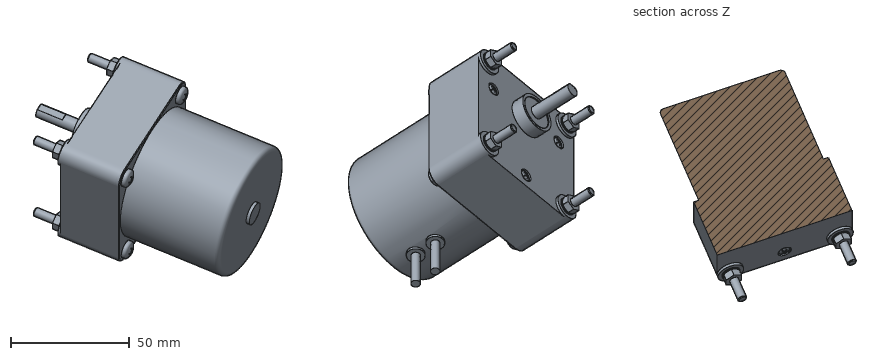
import cadquery as cq
import math


BOX_SIZE = 61.0
BOX_LENGTH = 28.0
COVER_THICKNESS = 2.0
COVER_CHAMFER = 0.4
COVER_X = BOX_LENGTH - COVER_THICKNESS
BOLT_CIRCLE_RADIUS = 35.0
BOLT_OFFSET = BOLT_CIRCLE_RADIUS / math.sqrt(2)
CORNER_RADIUS = BOX_SIZE / 2 - BOLT_OFFSET
PAD_RADIUS = 5.8
PAD_HEIGHT = 1.2
PAD_X = -PAD_HEIGHT
CORNER_SIDES = ((-1, -1), (-1, 1), (1, -1), (1, 1))

SHAFT_Z = 10.0
SHAFT_DIAMETER = 6.0
SHAFT_LENGTH = 26.0
FLAT_LENGTH = 12.0
FLAT_DEPTH = 0.5
BOSS_DIAMETER = 18.0
BOSS_HEIGHT = 6.0
BOSS_RECESS_DIAMETER = 15.2
BOSS_RECESS_DEPTH = 0.5

MOTOR_DIAMETER = 59.0
MOTOR_END_X = 75.0
MOTOR_FILLET = 2.0
REAR_HUB_DIAMETER = 10.0
REAR_HUB_HEIGHT = 1.5

LEAD_X = (51.0, 62.0)
LEAD_DIAMETER = 4.0
LEAD_END_Z = -47.5
GROMMET_DIAMETER = 8.0
GROMMET_END_Z = -30.5
LEAD_ROOT_Z = -25.0

BOLT_DIAMETER = 4.0
BOLT_TIP_X = -15.0
BOLT_TIP_CHAMFER = 0.4
WASHER_DIAMETER = 8.0
WASHER_THICKNESS = 0.5
NUT_ACROSS_FLATS = 7.0
NUT_ACROSS_CORNERS = NUT_ACROSS_FLATS / math.cos(math.pi / 6)
NUT_THICKNESS = 3.2
NUT_CHAMFER_ANGLE = math.radians(30)
BOLT_HEAD_DIAMETER = 8.0
BOLT_HEAD_HEIGHT = 3.1
BOLT_HEAD_RIM = 1.1
BOLT_SLOT_ANGLE = 0

SCREW_CIRCLE_RADIUS = 24.0
SCREW_ANGLES = (30, 150, 270)
SCREW_POCKET_DIAMETER = 6.0
SCREW_POCKET_DEPTH = 2.2
SCREW_HEAD_DIAMETER = SCREW_POCKET_DIAMETER
SCREW_HEAD_HEIGHT = 2.5
SCREW_HEAD_RIM = 1.1
SCREW_SLOT_ANGLE = 45

CROWN_DIAMETER_RATIO = 0.8
CROWN_RISE_RATIO = 0.3
CROSS_LENGTH_RATIO = 0.45
CROSS_WIDTH_RATIO = 0.06
CROSS_DEPTH_RATIO = 0.12


def cylinder_x(diameter, x_start, x_end, y=0.0, z=0.0):
    """Cylinder along X between two X positions."""
    axis_start = cq.Vector(x_start, y, z)
    return cq.Workplane(
        cq.Solid.makeCylinder(diameter / 2, x_end - x_start, axis_start, cq.Vector(1, 0, 0))
    )


def cylinder_down(diameter, x, z_top, z_bottom):
    """Cylinder along Z on the motor's middle plane."""
    return cq.Workplane("XY", origin=(x, 0, z_bottom)).circle(diameter / 2).extrude(z_top - z_bottom)


def rounded_box(x_start, length):
    """Square block along X with the gearbox corner radius."""
    block = cq.Workplane("YZ", origin=(x_start, 0, 0)).rect(BOX_SIZE, BOX_SIZE).extrude(length)
    return block.edges("|X").fillet(CORNER_RADIUS)


def cross_head(diameter, height, rim, slot_angle):
    """Pan head standing on X = 0 and rising to +X: rim, rounded edge, crown and cross recess."""
    radius = diameter / 2
    crown_radius = radius * CROWN_DIAMETER_RATIO
    crown_rise = height * CROWN_RISE_RATIO
    sphere_radius = (crown_radius**2 + crown_rise**2) / (2 * crown_rise)
    mid_radius = crown_radius / 2
    mid_x = height - sphere_radius + math.sqrt(sphere_radius**2 - mid_radius**2)
    head = (
        cq.Workplane("XY")
        .lineTo(0, radius)
        .lineTo(rim, radius)
        .tangentArcPoint((height - crown_rise, crown_radius), relative=False)
        .threePointArc((mid_x, mid_radius), (height, 0))
        .close()
        .revolve(360, (0, 0, 0), (1, 0, 0))
    )
    depth = diameter * CROSS_DEPTH_RATIO
    for angle in (slot_angle, slot_angle + 90):
        slot = (
            cq.Workplane("YZ", origin=(height - depth, 0, 0))
            .rect(diameter * CROSS_LENGTH_RATIO, diameter * CROSS_WIDTH_RATIO)
            .extrude(depth)
            .rotate((0, 0, 0), (1, 0, 0), angle)
        )
        head = head.cut(slot)
    return head


def make_gearbox_body():
    """Gearbox block up to its cover, with a raised round pad at each front corner."""
    block = rounded_box(PAD_X, COVER_X - PAD_X)
    pads = [(y * BOLT_OFFSET, z * BOLT_OFFSET) for y, z in CORNER_SIDES]
    front_cut = (
        cq.Workplane("YZ", origin=(PAD_X, 0, 0))
        .rect(2 * BOX_SIZE, 2 * BOX_SIZE)
        .pushPoints(pads)
        .circle(PAD_RADIUS)
        .extrude(PAD_HEIGHT)
    )
    return block.cut(front_cut)


def make_cover():
    return rounded_box(COVER_X, COVER_THICKNESS).faces(">X").edges().chamfer(COVER_CHAMFER)


def make_boss():
    boss = cylinder_x(BOSS_DIAMETER, -BOSS_HEIGHT, 0, z=SHAFT_Z)
    recess = cylinder_x(BOSS_RECESS_DIAMETER, -BOSS_HEIGHT, BOSS_RECESS_DEPTH - BOSS_HEIGHT, z=SHAFT_Z)
    return boss.cut(recess)


def make_shaft():
    shaft = cylinder_x(SHAFT_DIAMETER, -SHAFT_LENGTH, 0, z=SHAFT_Z)
    flat_z = SHAFT_Z + SHAFT_DIAMETER / 2 - FLAT_DEPTH
    flat_cut = cq.Workplane("XY", origin=(-SHAFT_LENGTH, 0, flat_z)).box(
        FLAT_LENGTH, SHAFT_DIAMETER, SHAFT_DIAMETER, centered=(False, True, False)
    )
    return shaft.cut(flat_cut)


def make_motor():
    can = cylinder_x(MOTOR_DIAMETER, BOX_LENGTH, MOTOR_END_X).faces(">X").edges().fillet(MOTOR_FILLET)
    hub = cylinder_x(REAR_HUB_DIAMETER, MOTOR_END_X, MOTOR_END_X + REAR_HUB_HEIGHT)
    motor = can.union(hub)
    for x in LEAD_X:
        motor = motor.union(cylinder_down(GROMMET_DIAMETER, x, LEAD_ROOT_Z, GROMMET_END_Z))
        motor = motor.union(cylinder_down(LEAD_DIAMETER, x, LEAD_ROOT_Z, LEAD_END_Z))
    return motor


def make_nut(back_x):
    """Hexagon nut with flats facing +-Y; the corners are chamfered on its back face."""
    hexagon = (
        cq.Workplane("YZ", origin=(back_x - NUT_THICKNESS, 0, 0))
        .polygon(6, NUT_ACROSS_CORNERS)
        .extrude(NUT_THICKNESS)
        .rotate((0, 0, 0), (1, 0, 0), 90)
    )
    back_radius = NUT_ACROSS_FLATS / 2
    cone_radius = back_radius + NUT_THICKNESS / math.tan(NUT_CHAMFER_ANGLE)
    cone = cq.Workplane(
        cq.Solid.makeCone(
            cone_radius, back_radius, NUT_THICKNESS,
            cq.Vector(back_x - NUT_THICKNESS, 0, 0), cq.Vector(1, 0, 0),
        )
    )
    return hexagon.intersect(cone)


def make_bolt():
    """Washer, nut, shank and head of one bolt, on one common axis."""
    washer_x = PAD_X - WASHER_THICKNESS
    stud = cylinder_x(BOLT_DIAMETER, BOLT_TIP_X, BOX_LENGTH).faces("<X").edges().chamfer(BOLT_TIP_CHAMFER)
    head = cross_head(BOLT_HEAD_DIAMETER, BOLT_HEAD_HEIGHT, BOLT_HEAD_RIM, BOLT_SLOT_ANGLE)
    return (
        cylinder_x(WASHER_DIAMETER, washer_x, PAD_X)
        .union(make_nut(washer_x))
        .union(stud)
        .union(head.translate((BOX_LENGTH, 0, 0)))
    )


def add_cover_screws(body):
    head = cross_head(SCREW_HEAD_DIAMETER, SCREW_HEAD_HEIGHT, SCREW_HEAD_RIM, SCREW_SLOT_ANGLE)
    head = head.mirror("YZ").translate((SCREW_POCKET_DEPTH, 0, 0))
    for angle in SCREW_ANGLES:
        y = SCREW_CIRCLE_RADIUS * math.cos(math.radians(angle))
        z = SCREW_CIRCLE_RADIUS * math.sin(math.radians(angle))
        body = body.cut(cylinder_x(SCREW_POCKET_DIAMETER, 0, SCREW_POCKET_DEPTH, y, z))
        body = body.union(head.translate((0, y, z)))
    return body


gear_motor = add_cover_screws(make_gearbox_body().union(make_boss()).union(make_shaft()))
gear_motor = gear_motor.union(make_cover().union(make_motor()), clean=False)
bolt = make_bolt()
for y_side, z_side in CORNER_SIDES:
    placed_bolt = bolt.translate((0, y_side * BOLT_OFFSET, z_side * BOLT_OFFSET))
    gear_motor = gear_motor.union(placed_bolt, clean=False)

result = gear_motor